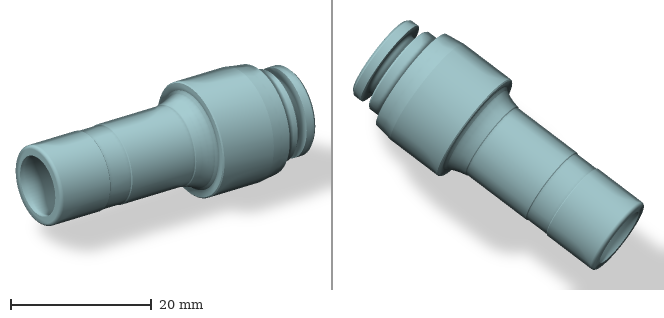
import cadquery as cq

length = 43.3

shank_radius = 5.98
tip_round = 0.48
groove_start = 8.4
groove_width = 3.8
groove_depth = 0.15

flare_start = 23.05
flare_length = 2.6
flare_step = 0.15
flare_small_radius = shank_radius + flare_step
flare_large_radius = 6.95
flare_bow = 0.15
flare_root_radius = 7.35

head_start = 26.02
head_radius = 17.2 / 2
head_chamfer = 0.17
head_taper_length = 3.0
head_end_radius = 8.2
head_end = 37.63

sleeve_end = 40.1
sleeve_radius = 6.9
sleeve_chamfer = 0.25
neck_radius = 4.95
neck_fillet = 0.4
collar_radius = 6.7
collar_thickness = 1.78
collar_chamfer = 0.48

bore_tip_radius = 4.5
bore_end_radius = 3.5
bore_shoulder_start = head_start

groove_end = groove_start + groove_width
flare_end = flare_start + flare_length
flare_mid = (flare_start + flare_end) / 2
flare_mid_radius = (flare_small_radius + flare_large_radius) / 2 - flare_bow
head_taper_start = head_end - head_taper_length
collar_start = length - collar_thickness
bore_shoulder_end = bore_shoulder_start + bore_tip_radius - bore_end_radius
diagonal = 0.5 ** 0.5


def turn(profile):
    """Revolve a closed (radius, axial position) profile about the Y axis."""
    return profile.close().revolve(360, (0, 0, 0), (0, 1, 0))


def make_shank():
    """Plug shank with a rounded tip and a shallow sloped-sided groove."""
    groove_radius = shank_radius - groove_depth
    tip_round_mid = tip_round * (1 - diagonal)
    return turn(
        cq.Workplane("XY")
        .moveTo(0, 0)
        .lineTo(shank_radius - tip_round, 0)
        .threePointArc((shank_radius - tip_round_mid, tip_round_mid), (shank_radius, tip_round))
        .lineTo(shank_radius, groove_start)
        .lineTo(groove_radius, groove_start + groove_depth)
        .lineTo(groove_radius, groove_end - groove_depth)
        .lineTo(shank_radius, groove_end)
        .lineTo(shank_radius, head_start)
        .lineTo(0, head_start)
    )


def make_flare():
    """Hollow-curved flare with a small step on the shank and a steep root at the head."""
    return turn(
        cq.Workplane("XY")
        .moveTo(0, flare_start - flare_step)
        .lineTo(shank_radius, flare_start - flare_step)
        .lineTo(flare_small_radius, flare_start)
        .threePointArc((flare_mid_radius, flare_mid), (flare_large_radius, flare_end))
        .lineTo(flare_root_radius, head_start)
        .lineTo(0, head_start)
    )


def make_head():
    """Cylindrical head with a chamfered front edge and a tapered back end."""
    return turn(
        cq.Workplane("XY")
        .moveTo(0, head_start)
        .lineTo(head_radius - head_chamfer, head_start)
        .lineTo(head_radius, head_start + head_chamfer)
        .lineTo(head_radius, head_taper_start)
        .lineTo(head_end_radius, head_end)
        .lineTo(0, head_end)
    )


def make_sleeve_and_collar():
    """Sleeve, neck and release collar, with the neck filleted into the collar."""
    fillet_mid = neck_fillet * (1 - diagonal)
    return turn(
        cq.Workplane("XY")
        .moveTo(0, head_end)
        .lineTo(sleeve_radius, head_end)
        .lineTo(sleeve_radius, sleeve_end - sleeve_chamfer)
        .lineTo(sleeve_radius - sleeve_chamfer, sleeve_end)
        .lineTo(neck_radius, sleeve_end)
        .lineTo(neck_radius, collar_start - neck_fillet)
        .threePointArc(
            (neck_radius + fillet_mid, collar_start - fillet_mid),
            (neck_radius + neck_fillet, collar_start),
        )
        .lineTo(collar_radius, collar_start)
        .lineTo(collar_radius, length - collar_chamfer)
        .lineTo(collar_radius - collar_chamfer, length)
        .lineTo(0, length)
    )


def make_bore():
    """Stepped bore through the whole part, with a conical shoulder between its two sizes."""
    return turn(
        cq.Workplane("XY")
        .moveTo(0, 0)
        .lineTo(bore_tip_radius, 0)
        .lineTo(bore_tip_radius, bore_shoulder_start)
        .lineTo(bore_end_radius, bore_shoulder_end)
        .lineTo(bore_end_radius, length)
        .lineTo(0, length)
    )


body = make_shank().union(make_flare()).union(make_head()).union(make_sleeve_and_collar())
result = body.cut(make_bore())